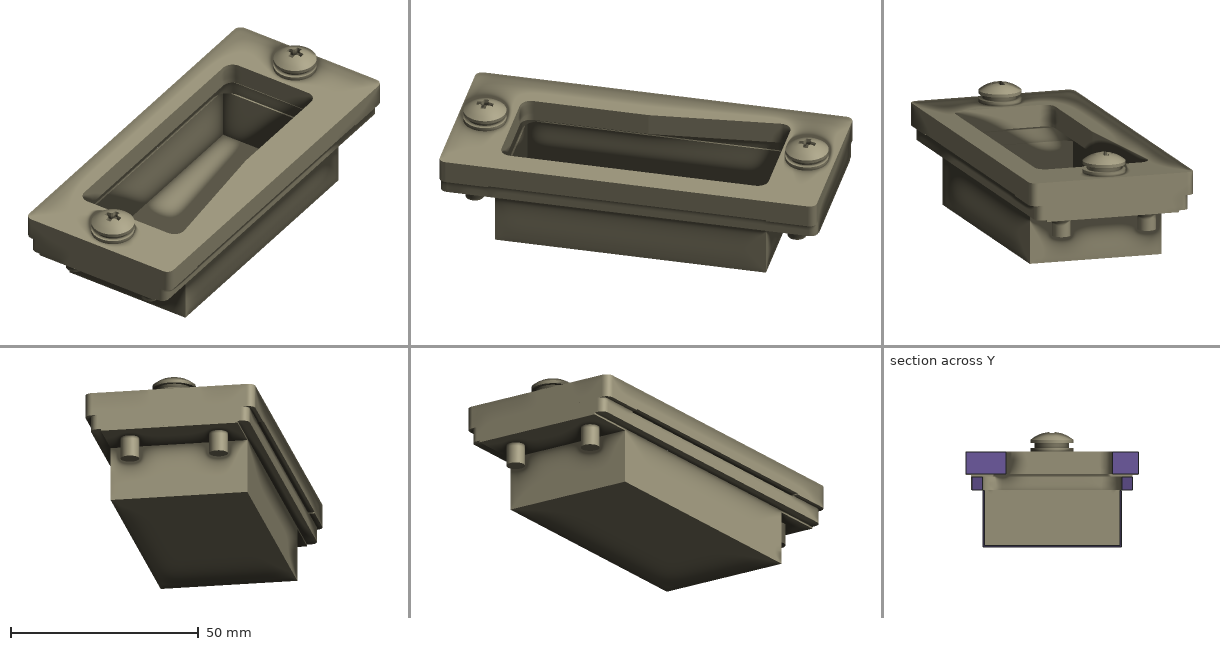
import cadquery as cq
import math

plate_width = 46.0
plate_length = 103.0
plate_thickness = 6.25
corner_radius = 2.0

opening_left_x = -16.0
opening_top_right_x = 12.0
opening_bottom_right_x = 16.0
opening_length = 73.0
opening_bend_y = 2.0
opening_corner_radius = 3.0

frame_width = 43.0
frame_thickness = 4.0
frame_opening_width = 37.0
frame_opening_length = 74.0
frame_opening_radius = 5.0

vent_length = 76.0
vent_height = 0.6

tray_width = frame_opening_width
tray_length = frame_opening_length
tray_depth = 15.1
tray_wall = 0.5
flange_thickness = 0.5

post_diameter = 5.0
post_length = 5.7
post_spacing_x = 24.0
fastener_spacing_y = 88.0

head_diameter = 11.5
neck_diameter = 9.2
collar_height = 1.0
neck_height = 1.3
rim_height = 0.85
dome_height = 2.12
recess_span = 4.6
recess_slot_width = 1.4
recess_corner_cut = 0.4
recess_depth = 2.0
recess_taper = 2.0

frame_top_z = frame_thickness
plate_top_z = frame_top_z + plate_thickness
flange_bottom_z = -flange_thickness


def make_vent_gap():
    return cq.Workplane("XY", origin=(0, 0, frame_top_z)).box(plate_width, vent_length, vent_height)


def make_cover_plate():
    half_length = opening_length / 2
    plate = (
        cq.Workplane("XY", origin=(0, 0, frame_top_z))
        .rect(plate_width, plate_length)
        .extrude(plate_thickness)
        .edges("|Z")
        .fillet(corner_radius)
    )
    opening = (
        cq.Workplane("XY", origin=(0, 0, frame_top_z))
        .moveTo(opening_left_x, -half_length)
        .lineTo(opening_bottom_right_x, -half_length)
        .lineTo(opening_top_right_x, opening_bend_y)
        .lineTo(opening_top_right_x, half_length)
        .lineTo(opening_left_x, half_length)
        .close()
        .extrude(plate_thickness)
    )
    opening = opening.edges("|Z and (<Y or >Y)").fillet(opening_corner_radius)
    return plate.cut(opening).cut(make_vent_gap())


def make_frame():
    frame = (
        cq.Workplane("XY")
        .rect(frame_width, plate_length)
        .extrude(frame_thickness)
        .edges("|Z")
        .fillet(corner_radius)
    )
    opening = (
        cq.Workplane("XY")
        .rect(frame_opening_width, frame_opening_length)
        .extrude(frame_thickness)
        .edges("|Z")
        .fillet(frame_opening_radius)
    )
    return frame.cut(opening).cut(make_vent_gap())


def make_tray():
    flange = (
        cq.Workplane("XY", origin=(0, 0, flange_bottom_z))
        .rect(tray_width, plate_length)
        .extrude(flange_thickness)
    )
    box = (
        cq.Workplane("XY", origin=(0, 0, -tray_depth))
        .rect(tray_width, tray_length)
        .extrude(tray_depth)
    )
    cavity = (
        cq.Workplane("XY", origin=(0, 0, -tray_depth + tray_wall))
        .rect(tray_width - 2 * tray_wall, tray_length - 2 * tray_wall)
        .extrude(tray_depth)
    )
    return flange.union(box).cut(cavity)


def make_post(x, y):
    return (
        cq.Workplane("XY", origin=(x, y, flange_bottom_z - post_length))
        .circle(post_diameter / 2)
        .extrude(post_length)
    )


def make_recess(top_z):
    flats_distance = (recess_slot_width + recess_corner_cut) * math.sqrt(2)
    outlines = [
        (recess_span, recess_slot_width, 0),
        (recess_slot_width, recess_span, 0),
        (flats_distance, flats_distance, 45),
    ]
    recess = cq.Workplane("XY")
    for size_x, size_y, angle in outlines:
        recess = recess.union(
            cq.Workplane("XY", origin=(0, 0, top_z))
            .rect(size_x, size_y)
            .extrude(-recess_depth, taper=recess_taper)
            .rotate((0, 0, 0), (0, 0, 1), angle)
        )
    return recess


def make_screw(y):
    head_radius = head_diameter / 2
    neck_radius = neck_diameter / 2
    neck_top = collar_height + neck_height
    rim_top = neck_top + rim_height
    dome_top = rim_top + dome_height

    sphere_radius = (head_radius**2 + dome_height**2) / (2 * dome_height)
    mid_x = head_radius / 2
    mid_z = dome_top - sphere_radius + math.sqrt(sphere_radius**2 - mid_x**2)

    screw = (
        cq.Workplane("XZ")
        .moveTo(0, 0)
        .lineTo(head_radius, 0)
        .lineTo(head_radius, collar_height)
        .lineTo(neck_radius, collar_height)
        .lineTo(neck_radius, neck_top)
        .lineTo(head_radius, neck_top)
        .lineTo(head_radius, rim_top)
        .threePointArc((mid_x, mid_z), (0, dome_top))
        .close()
        .revolve(360, (0, 0, 0), (0, 1, 0))
    )
    return screw.cut(make_recess(dome_top)).translate((0, y, plate_top_z))


cover_plate = make_cover_plate()
frame = make_frame()
tray = make_tray()

posts = []
screws = []
for side_y in (-1, 1):
    fastener_y = side_y * fastener_spacing_y / 2
    screws.append(make_screw(fastener_y))
    for side_x in (-1, 1):
        posts.append(make_post(side_x * post_spacing_x / 2, fastener_y))

result = cq.Compound.makeCompound(
    [body.val() for body in [cover_plate, frame, tray, *posts, *screws]]
)